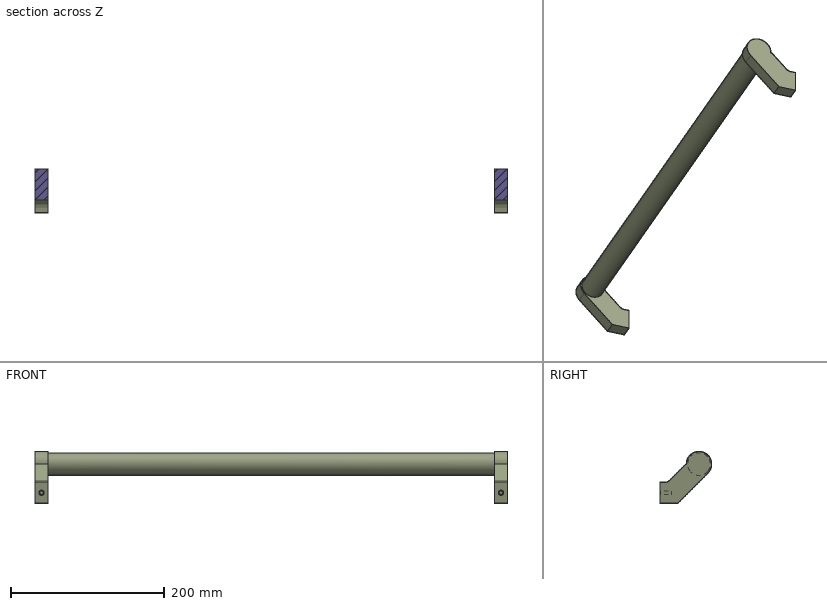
import cadquery as cq
import math

length = 617.0
depth = 68.0
height = 68.0

bar_radius = 15.0
hub_radius = 16.5
bracket_width = 17.0

arm_start = 17.0
foot_height = 28.0
bend_radius = 7.5

hole_diameter = 5.0
hole_depth = 15.5
hole_chamfer = 0.9

mount_y = hub_radius - depth
foot_bottom = hub_radius - height
foot_top = foot_bottom + foot_height
bend_y = foot_top - arm_start
tangent_offset = hub_radius * math.sqrt(0.5)
heel_y = foot_bottom + 2 * tangent_offset


def make_bracket(left_x):
    """Hub, sloping arm and foot, with a chamfered screw hole in the foot."""
    plane = cq.Workplane("YZ", origin=(left_x, 0, 0))
    hub = plane.circle(hub_radius).extrude(bracket_width)
    arm = (
        plane.moveTo(0, 0)
        .lineTo(-arm_start, 0)
        .lineTo(bend_y, foot_top)
        .lineTo(mount_y, foot_top)
        .lineTo(mount_y, foot_bottom)
        .lineTo(heel_y, foot_bottom)
        .lineTo(tangent_offset, -tangent_offset)
        .close()
        .extrude(bracket_width)
    )
    middle_x = left_x + bracket_width / 2
    bend_point = (middle_x, bend_y, foot_top)
    arm = arm.edges(cq.selectors.NearestToPointSelector(bend_point)).fillet(bend_radius)

    hole_center = (middle_x, mount_y, foot_bottom + foot_height / 2)
    hole_plane = cq.Workplane("XZ", origin=hole_center)
    hole = hole_plane.circle(hole_diameter / 2).extrude(-hole_depth)
    countersink = (
        hole_plane.circle(hole_diameter / 2 + hole_chamfer)
        .extrude(-hole_chamfer, taper=45)
    )
    return hub.union(arm).cut(hole).cut(countersink)


bar = cq.Workplane("YZ", origin=(-length / 2, 0, 0)).circle(bar_radius).extrude(length)

result = bar
for bracket_x in (-length / 2, length / 2 - bracket_width):
    result = result.union(make_bracket(bracket_x))